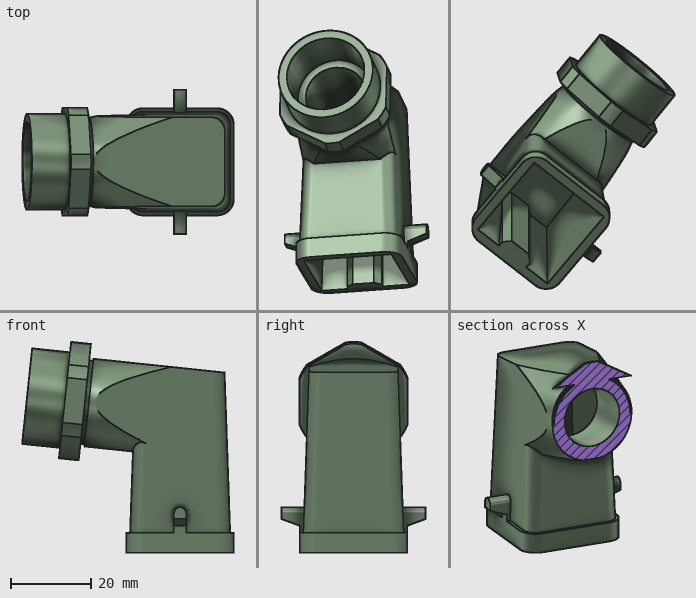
import cadquery as cq
import math

flange_x = 26.86
flange_y = 26.8
flange_height = 5.0
flange_corner_radius = 4.3

column_side = 25.0
column_draft = 2.0
column_corner_radius = 3.2
column_build_height = 50.0

entry_tilt = 6.0
overall_x = 52.84
collar_diameter = 24.0
mouth_z = 39.08
collar_length = 9.5
nut_thickness = 5.0
nut_across_flats = 27.0
nut_turned_diameter = 29.25
neck_diameter = 21.0
neck_length = 1.0

head_diameter = 22.0
cone_half_angle = 13.2

wall = 1.5
ceiling_thickness = 2.1
mouth_bore_diameter = 19.7
seat_bore_diameter = 18.92
seat_depth = 12.0
passage_diameter = 15.0
rib_height = 1.65
rib_face_width = 5.4
rib_root_width = 8.8

peg_span = 36.0
peg_diameter = 3.1
peg_top_z = 11.4
peg_tip_bottom_z = 8.45
peg_foot_top_z = 6.75

tilt = math.radians(entry_tilt)
draft_slope = math.tan(math.radians(column_draft))
mouth_x = flange_x / 2 - overall_x + collar_diameter / 2 * math.sin(tilt)
nut_start = collar_length
neck_start = nut_start + nut_thickness
head_start = neck_start + neck_length
depth_to_column_axis = -mouth_x / math.cos(tilt)
far_depth = 2 * depth_to_column_axis
oversize = 100.0


def entry_plane(depth=0.0):
    """Plane square to the entry axis; local X is global Y, local Y points up."""
    axis_x = math.cos(tilt)
    axis_z = -math.sin(tilt)
    origin = (mouth_x + depth * axis_x, 0, mouth_z + depth * axis_z)
    return cq.Workplane(cq.Plane(origin=origin, xDir=(0, 1, 0), normal=(axis_x, 0, axis_z)))


def entry_cylinder(diameter, start, length):
    return entry_plane(start).circle(diameter / 2).extrude(length)


def entry_slab(bottom, top, start, end):
    """Wide block along the entry axis between two heights off that axis."""
    middle = (bottom + top) / 2
    return entry_plane(start).center(0, middle).rect(oversize, top - bottom).extrude(end - start)


def entry_cone(start_diameter, end_diameter, start, length):
    circle = entry_plane(start).circle(start_diameter / 2)
    return circle.workplane(offset=length).circle(end_diameter / 2).loft(ruled=True)


def make_flange():
    plate = cq.Workplane("XY").rect(flange_x, flange_y).extrude(flange_height)
    return plate.edges("|Z").fillet(flange_corner_radius)


def make_flattened_cone():
    """Widening cone with flats above and below, tangent to its small end."""
    length = far_depth - head_start
    end_diameter = head_diameter + 2 * length * math.tan(math.radians(cone_half_angle))
    cone = entry_cone(head_diameter, end_diameter, head_start, length)
    return cone.intersect(entry_slab(-head_diameter / 2, head_diameter / 2, 0, far_depth))


def make_column(flattened_cone):
    column = (
        cq.Workplane("XY", origin=(0, 0, flange_height))
        .rect(column_side, column_side)
        .extrude(column_build_height, taper=column_draft)
    )
    column = column.edges("not #Z").fillet(column_corner_radius)
    outside_cone = entry_slab(0, oversize, 0, far_depth).cut(flattened_cone)
    return column.cut(outside_cone)


def make_head(flattened_cone):
    """The part of the cone that lies between the drafted side planes of the column."""
    half_bottom = column_side / 2
    half_top = half_bottom - column_build_height * draft_slope
    top_z = flange_height + column_build_height
    between_sides = (
        cq.Workplane("YZ")
        .polyline([
            (-half_bottom, flange_height),
            (half_bottom, flange_height),
            (half_top, top_z),
            (-half_top, top_z),
        ])
        .close()
        .extrude(oversize, both=True)
    )
    before_column_axis = entry_slab(-head_diameter, head_diameter, 0, depth_to_column_axis)
    return flattened_cone.intersect(before_column_axis).intersect(between_sides)


def make_nut():
    across_corners = nut_across_flats / math.cos(math.pi / 6)
    hexagon = (
        entry_plane(nut_start)
        .transformed(rotate=(0, 0, 90))
        .polygon(6, across_corners)
        .extrude(nut_thickness)
    )
    return hexagon.intersect(entry_cylinder(nut_turned_diameter, nut_start, nut_thickness))


def make_pegs():
    """Both pegs: a rounded bar narrowing towards its tips, with a foot down to the flange."""
    half_span = peg_span / 2
    half_flange = flange_y / 2
    radius = peg_diameter / 2
    side_outline = (
        cq.Workplane("YZ")
        .polyline([
            (-half_flange, flange_height),
            (half_flange, flange_height),
            (half_flange, peg_foot_top_z),
            (half_span, peg_tip_bottom_z),
            (half_span, peg_top_z),
            (-half_span, peg_top_z),
            (-half_span, peg_tip_bottom_z),
            (-half_flange, peg_foot_top_z),
        ])
        .close()
        .extrude(radius, both=True)
    )
    shoulder_z = peg_top_z - radius
    round_topped_section = (
        cq.Workplane("XZ")
        .moveTo(-radius, flange_height)
        .lineTo(radius, flange_height)
        .lineTo(radius, shoulder_z)
        .threePointArc((0, peg_top_z), (-radius, shoulder_z))
        .close()
        .extrude(half_span, both=True)
    )
    return side_outline.intersect(round_topped_section)


def make_cavity():
    """Drafted hollow, open at the bottom, under a ceiling parallel to the sloping top."""
    cavity_side = column_side - 2 * wall + 2 * flange_height * draft_slope
    cavity = (
        cq.Workplane("XY")
        .rect(cavity_side, cavity_side)
        .extrude(column_build_height, taper=column_draft)
    )
    ceiling = head_diameter / 2 - ceiling_thickness
    cavity = cavity.cut(entry_slab(ceiling, oversize, 0, far_depth))
    return cavity.cut(make_rib(cavity_side))


def make_rib(cavity_side):
    """Upright trapezoidal rib, its height taken from the far wall level with the entry mouth."""
    root_x = cavity_side / 2
    wall_x = root_x - mouth_z * draft_slope
    face_x = wall_x - rib_height
    return (
        cq.Workplane("XY")
        .polyline([
            (root_x, -rib_root_width / 2),
            (wall_x, -rib_root_width / 2),
            (face_x, -rib_face_width / 2),
            (face_x, rib_face_width / 2),
            (wall_x, rib_root_width / 2),
            (root_x, rib_root_width / 2),
        ])
        .close()
        .extrude(column_build_height)
    )


def make_entry_bore():
    mouth = entry_cone(mouth_bore_diameter, seat_bore_diameter, 0, seat_depth)
    passage = entry_cylinder(passage_diameter, seat_depth, depth_to_column_axis - seat_depth)
    return mouth.union(passage)


flattened_cone = make_flattened_cone()

body = make_column(flattened_cone).union(make_head(flattened_cone))
body = body.union(make_flange()).union(make_pegs())
body = body.union(entry_cylinder(collar_diameter, 0, collar_length))
body = body.union(make_nut())
body = body.union(entry_cylinder(neck_diameter, neck_start, neck_length))

result = body.cut(make_cavity()).cut(make_entry_bore())